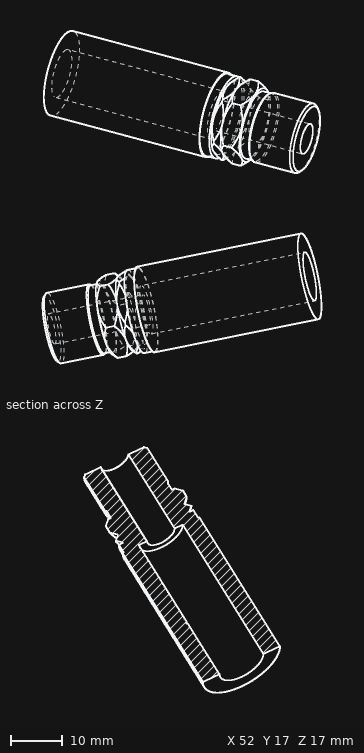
import cadquery as cq
import math

SLEEVE_LENGTH = 33.0
COLLAR_LENGTH = 2.0
LOCKNUT_WIDTH = 2.0
HEX_WIDTH = 4.0
NECK_LENGTH = 2.0
SPIGOT_LENGTH = 9.0

collar_start = SLEEVE_LENGTH
locknut_start = collar_start + COLLAR_LENGTH
hex_start = locknut_start + LOCKNUT_WIDTH
neck_start = hex_start + HEX_WIDTH
spigot_start = neck_start + NECK_LENGTH
overall_length = spigot_start + SPIGOT_LENGTH

SLEEVE_DIAMETER = 17.0
COLLAR_DIAMETER = 16.5
NECK_DIAMETER = 13.5
SPIGOT_DIAMETER = 14.0
BORE_DIAMETER = 9.6
PASSAGE_DIAMETER = 6.0

HEX_ACROSS_CORNERS = SLEEVE_DIAMETER
HEX_SIDES = 6
hex_flat_radius = HEX_ACROSS_CORNERS / 2 * math.cos(math.pi / HEX_SIDES)

SPIGOT_END_CHAMFER = 0.5
spigot_shoulder_bevel = (SPIGOT_DIAMETER - NECK_DIAMETER) / 2
BORE_DEPTH = SLEEVE_LENGTH


def cylinder(start, length, diameter):
    """Cylinder on the X axis from x = start."""
    return cq.Workplane("YZ", origin=(start, 0, 0)).circle(diameter / 2).extrude(length)


def chamfered_hexagon(start, width):
    """Hexagon whose corners are turned off by a 45 degree cone at each end.

    Both cones begin at the radius of the flats. On a narrow hexagon they
    meet in a ridge at mid width.
    """
    blank = cq.Workplane("YZ", origin=(start, 0, 0)).polygon(HEX_SIDES, HEX_ACROSS_CORNERS).extrude(width)
    end = start + width
    ridge = (start + width / 2, hex_flat_radius + width / 2)
    envelope = (
        cq.Workplane("XY")
        .moveTo(start, 0)
        .lineTo(start, hex_flat_radius)
        .lineTo(*ridge)
        .lineTo(end, hex_flat_radius)
        .lineTo(end, 0)
        .close()
        .revolve(360, (0, 0, 0), (1, 0, 0))
    )
    return blank.intersect(envelope)


def spigot():
    """Plain end with a small bevel at the neck and a chamfer at the tip."""
    bevel_start = spigot_start - spigot_shoulder_bevel
    body = cylinder(bevel_start, overall_length - bevel_start, SPIGOT_DIAMETER)
    body = body.faces(">X").chamfer(SPIGOT_END_CHAMFER)
    return body.faces("<X").chamfer(spigot_shoulder_bevel)


outer = (
    cylinder(0, SLEEVE_LENGTH, SLEEVE_DIAMETER)
    .union(cylinder(collar_start, COLLAR_LENGTH, COLLAR_DIAMETER))
    .union(chamfered_hexagon(locknut_start, LOCKNUT_WIDTH))
    .union(chamfered_hexagon(hex_start, HEX_WIDTH))
    .union(cylinder(neck_start, NECK_LENGTH, NECK_DIAMETER))
    .union(spigot())
)

result = (
    outer
    .cut(cylinder(0, BORE_DEPTH, BORE_DIAMETER))
    .cut(cylinder(0, overall_length, PASSAGE_DIAMETER))
)